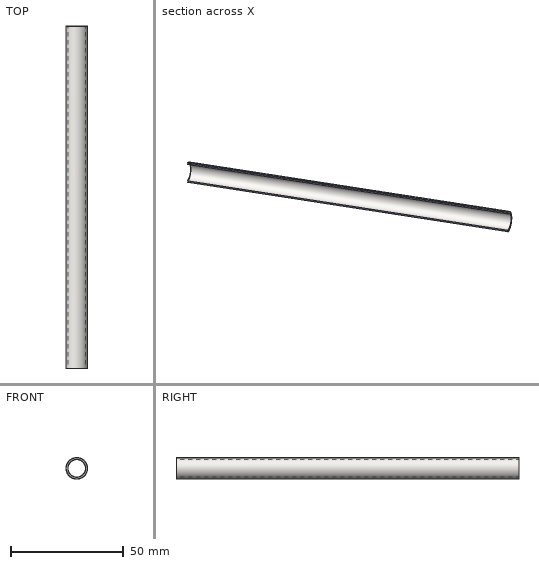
import cadquery as cq

length = 152.4
outer_diameter = 9.6
wall_thickness = 0.9
inner_diameter = outer_diameter - 2 * wall_thickness

end_section = cq.Workplane("XZ", origin=(0, length / 2, 0))
result = end_section.circle(outer_diameter / 2).circle(inner_diameter / 2).extrude(length)